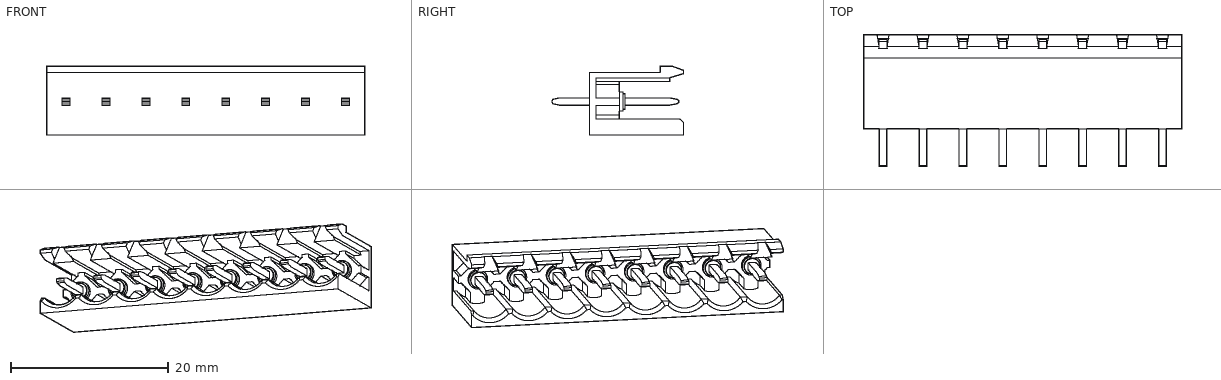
import cadquery as cq
import math


pin_count = 8
pin_pitch = 5.08
length = 40.53
depth = 12.0
bottom_z = -4.28
floor_z = -2.2
arm_underside_z = 3.02
arm_top_z = 3.72
hook_top_z = 4.52
back_wall = 0.8

hook_length = 3.0
hook_ramp = 1.5
hook_lead = 1.75
hook_nose_low_z = 3.55
hook_nose_high_z = 3.97
floor_chamfer = 0.5

rib_bottom_z = 2.53
wedge_top_half_width = 0.52
wedge_angle = 24.0
notch_depth = hook_lead

channel_radius = 2.6
channel_axis_z = -0.65
channel_flare = 0.5

block_front = 3.8
block_top_half_width = 0.43
block_foot_half_width = 0.92
ridge_facet_half_width = 2.15
block_upper_z = 2.17
block_lower_z = -1.73
ridge_half_height = 0.48

collars = [(2.45, 4.3), (2.0, 4.55)]

pin_width = 1.0
pin_height = 0.96
pin_tail_y = -4.8
pin_tail_taper = 1.0
pin_tail_nose_length = 0.15
pin_tail_nose_half_height = 0.05
pin_tail_half_height = 0.3
pin_tip_y = 11.37
pin_nose_length = 0.25
pin_nose_half_height = 0.15
pin_shoulder_half_height = 0.3
pin_tip_taper = 1.2


def pin_positions():
    first = -(pin_count - 1) * pin_pitch / 2
    return [first + i * pin_pitch for i in range(pin_count)]


def extrude_along_x(points, width, center_x=0.0):
    """Prism from a (Y, Z) outline, centred on center_x."""
    start = center_x - width / 2
    return cq.Workplane("YZ", origin=(start, 0, 0)).polyline(points).close().extrude(width)


def extrude_along_y(points, start_y, end_y, center_x):
    """Prism from an (X, Z) outline measured from center_x."""
    plane = cq.Plane(origin=(center_x, start_y, 0), xDir=(-1, 0, 0), normal=(0, 1, 0))
    mirrored = [(-x, z) for x, z in points]
    return cq.Workplane(plane).polyline(mirrored).close().extrude(end_y - start_y)


def cylinder_along_y(radius, start_y, end_y, center_x):
    plane = cq.Plane(origin=(center_x, start_y, 0), xDir=(-1, 0, 0), normal=(0, 1, 0))
    return cq.Workplane(plane).circle(radius).extrude(end_y - start_y)


def make_shell():
    """C-shaped shroud: floor, back wall and upper arm with its hook."""
    outline = [
        (0, bottom_z),
        (depth, bottom_z),
        (depth, floor_z - floor_chamfer),
        (depth - floor_chamfer, floor_z),
        (back_wall, floor_z),
        (back_wall, arm_underside_z),
        (depth - hook_lead, arm_underside_z),
        (depth, hook_nose_low_z),
        (depth, hook_nose_high_z),
        (depth - hook_ramp, hook_top_z),
        (depth - hook_length, hook_top_z),
        (depth - hook_length, arm_top_z),
        (0, arm_top_z),
    ]
    return extrude_along_x(outline, length)


def make_channel(x):
    """Floor-only part of a round bore whose mouth opens out in a cone."""
    mouth_radius = channel_radius + channel_flare
    profile = [
        (0, back_wall),
        (channel_radius, back_wall),
        (channel_radius, depth - channel_flare),
        (mouth_radius, depth),
        (0, depth),
    ]
    bore = cq.Workplane("XY").polyline(profile).close().revolve(360, (0, 0), (0, 1))
    bore = bore.translate((x, 0, channel_axis_z))
    floor_zone = cq.Workplane("XY").box(pin_pitch, depth, -bottom_z, centered=(True, False, False))
    return bore.intersect(floor_zone.translate((x, 0, bottom_z)))


def make_wedge(x, low_z, high_z, start_y, end_y):
    """Prism that narrows upwards, shared by the ribs and the hook notches."""
    def half_width(z):
        return wedge_top_half_width + (hook_top_z - z) * math.tan(math.radians(wedge_angle))

    outline = [
        (-half_width(low_z), low_z),
        (half_width(low_z), low_z),
        (half_width(high_z), high_z),
        (-half_width(high_z), high_z),
    ]
    return extrude_along_y(outline, start_y, end_y, x)


def make_block(x):
    """Support block with a ridge on each side that meets the next block."""
    ridge_x = pin_pitch / 2
    right_side = [
        (block_foot_half_width, bottom_z),
        (block_foot_half_width, block_lower_z),
        (ridge_facet_half_width, -ridge_half_height),
        (ridge_x, -ridge_half_height),
        (ridge_x, ridge_half_height),
        (ridge_facet_half_width, ridge_half_height),
        (block_top_half_width, block_upper_z),
        (block_top_half_width, rib_bottom_z),
    ]
    left_side = [(-px, z) for px, z in reversed(right_side)]
    return extrude_along_y(right_side + left_side, 0, block_front, x)


def make_pin(x):
    half = pin_height / 2
    shoulder_y = pin_tip_y - pin_nose_length
    upper_edge = [
        (pin_tail_y, pin_tail_nose_half_height),
        (pin_tail_y + pin_tail_nose_length, pin_tail_half_height),
        (pin_tail_y + pin_tail_taper, half),
        (pin_tip_y - pin_tip_taper, half),
        (shoulder_y, pin_shoulder_half_height),
        (pin_tip_y, pin_nose_half_height),
    ]
    lower_edge = [(y, -z) for y, z in reversed(upper_edge)]
    return extrude_along_x(upper_edge + lower_edge, pin_width, x)


def make_header():
    body = make_shell()
    for x in pin_positions():
        body = body.cut(make_channel(x))
        body = body.cut(make_wedge(x, rib_bottom_z, hook_top_z, depth - notch_depth, depth))

    trim = cq.Workplane("XY").box(length, depth, hook_top_z - bottom_z, centered=(True, False, False))
    trim = trim.translate((0, 0, bottom_z))
    for x in pin_positions():
        body = body.union(make_block(x).intersect(trim))
        body = body.union(make_wedge(x, rib_bottom_z, arm_underside_z, 0, depth - notch_depth))
        for diameter, front_y in collars:
            body = body.union(cylinder_along_y(diameter / 2, 0, front_y, x))
        body = body.union(make_pin(x))
    return body


result = make_header()